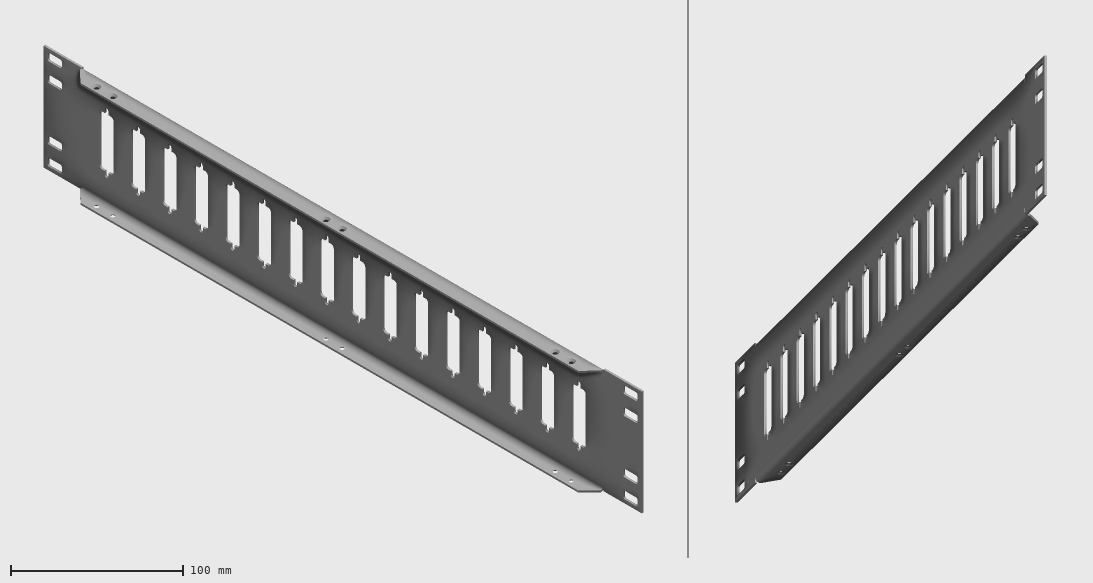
import cadquery as cq

panel_length = 482.5
panel_height = 88.5
sheet = 1.5

flange_depth = 12.5
flange_length = 420.0
flange_end_taper = 9.0
bend_inner_radius = 1.5
bend_outer_radius = bend_inner_radius + sheet

relief_width = 0.5
relief_height = 4.5

slot_count = 16
slot_row_span = 381.0
slot_pitch = slot_row_span / (slot_count - 1)
slot_width = 11.0
slot_height = 42.0
slot_corner_radius = 2.5
slot_tip_width = 3.0
slot_tip_span = 50.0

mount_x = 232.0
mount_heights = (22.0, 38.0)
mount_width = 11.5
mount_height = 6.5
mount_corner_radius = 1.5

pair_centers = (-185.0, 0, 185.0)
pair_spacing = 13.0
screw_diameter = 3.0
countersink_diameter = 5.5
countersink_depth = (countersink_diameter - screw_diameter) / 2
screw_setback = 8.5

half_height = panel_height / 2


def make_panel():
    """Flat plate, cut back at top and bottom where the flanges are folded."""
    plate = cq.Workplane("XY").box(panel_length, sheet, panel_height).translate((0, -sheet / 2, 0))
    relief_length = flange_length + 2 * relief_width
    for side in (-1, 1):
        notch = (
            cq.Workplane("XY")
            .box(relief_length, 2 * sheet, 2 * relief_height)
            .translate((0, -sheet / 2, side * half_height))
        )
        plate = plate.cut(notch)
    return plate


def make_channel():
    """C-shaped folded section with tapered flange ends."""
    outer = (
        cq.Workplane("XY")
        .box(flange_length, flange_depth, panel_height)
        .translate((0, -flange_depth / 2, 0))
        .edges("|X and >Y")
        .fillet(bend_outer_radius)
    )
    inner = (
        cq.Workplane("XY")
        .box(flange_length, flange_depth, panel_height - 2 * sheet)
        .translate((0, -flange_depth / 2 - sheet, 0))
        .edges("|X and >Y")
        .fillet(bend_inner_radius)
    )
    half_length = flange_length / 2
    taper_start = flange_end_taper - flange_depth
    plan = (
        cq.Workplane("XY")
        .polyline([
            (-half_length, 0),
            (half_length, 0),
            (half_length, taper_start),
            (half_length - flange_end_taper, -flange_depth),
            (flange_end_taper - half_length, -flange_depth),
            (-half_length, taper_start),
        ])
        .close()
        .extrude(half_height, both=True)
    )
    return outer.cut(inner).intersect(plan)


def cut_vertical_slots(body):
    """Rounded rectangles with a narrow round-ended notch at each end."""
    slots = (
        cq.Workplane("XZ")
        .rarray(slot_pitch, 5, slot_count, 1)
        .rect(slot_width, slot_height)
        .extrude(flange_depth, both=True)
        .edges("|Y")
        .fillet(slot_corner_radius)
    )
    tips = (
        cq.Workplane("XZ")
        .rarray(slot_pitch, 5, slot_count, 1)
        .slot2D(slot_tip_span, slot_tip_width, 90)
        .extrude(flange_depth, both=True)
    )
    return body.cut(slots).cut(tips)


def cut_mounting_holes(body):
    centers = [
        (x, side * z)
        for x in (-mount_x, mount_x)
        for side in (-1, 1)
        for z in mount_heights
    ]
    cutters = (
        cq.Workplane("XZ")
        .pushPoints(centers)
        .rect(mount_width, mount_height)
        .extrude(flange_depth, both=True)
        .edges("|Y")
        .fillet(mount_corner_radius)
    )
    return body.cut(cutters)


def cut_screw_holes(body):
    """Hole pairs in both flanges, countersunk from the outer faces."""
    centers = [
        (center + side * pair_spacing / 2, -screw_setback)
        for center in pair_centers
        for side in (-1, 1)
    ]
    for x, y in centers:
        cone = cq.Solid.makeCone(
            countersink_diameter / 2,
            screw_diameter / 2,
            countersink_depth,
            cq.Vector(x, y, half_height),
            cq.Vector(0, 0, -1),
        )
        bore = cq.Solid.makeCylinder(
            screw_diameter / 2,
            2 * sheet,
            cq.Vector(x, y, half_height),
            cq.Vector(0, 0, -1),
        )
        cutter = cq.Workplane(cone.fuse(bore))
        body = body.cut(cutter).cut(cutter.mirror("XY"))
    return body


result = make_panel().union(make_channel())
result = cut_vertical_slots(result)
result = cut_mounting_holes(result)
result = cut_screw_holes(result)